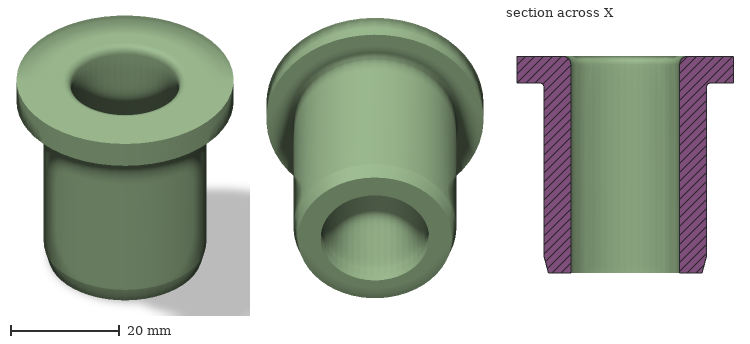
import cadquery as cq
import math

height = 40.0
flange_diameter = 40.0
flange_thickness = 5.0
body_diameter = 30.0
bore_diameter = 20.0
lead_in_height = 3.0
lead_in_angle = 15.0
bore_rounding = 1.5
neck_fillet = 0.8

flange_radius = flange_diameter / 2
body_radius = body_diameter / 2
bore_radius = bore_diameter / 2
flange_bottom = height - flange_thickness
tip_radius = body_radius - lead_in_height * math.tan(math.radians(lead_in_angle))

result = (
    cq.Workplane("XZ")
    .moveTo(bore_radius, 0)
    .lineTo(tip_radius, 0)
    .lineTo(body_radius, lead_in_height)
    .lineTo(body_radius, flange_bottom - neck_fillet)
    .radiusArc((body_radius + neck_fillet, flange_bottom), neck_fillet)
    .lineTo(flange_radius, flange_bottom)
    .lineTo(flange_radius, height)
    .lineTo(bore_radius + bore_rounding, height)
    .radiusArc((bore_radius, height - bore_rounding), -bore_rounding)
    .close()
    .revolve(360, (0, 0, 0), (0, 1, 0))
)